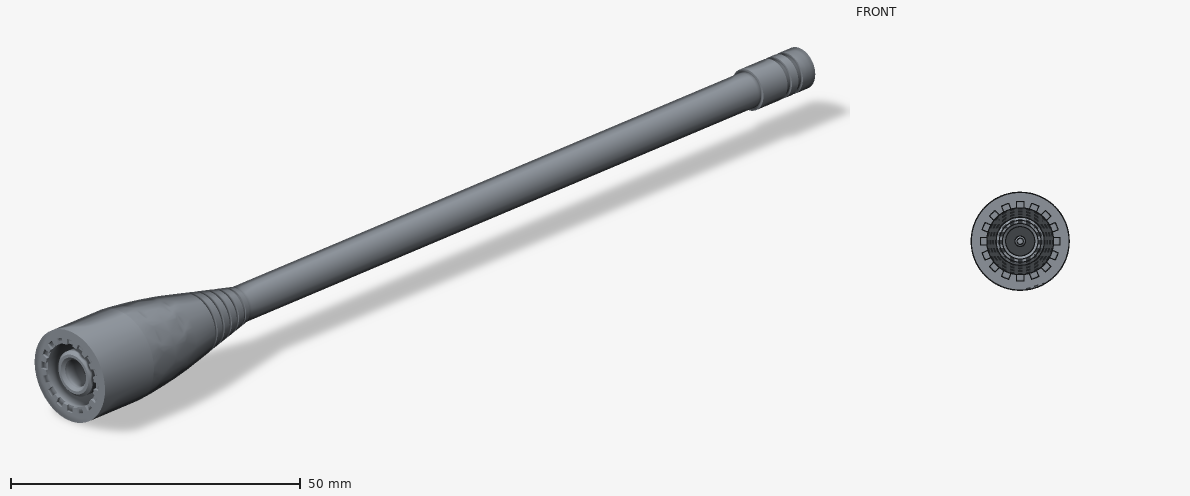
import cadquery as cq
import math

LENGTH = 180.3

SKIRT_RADIUS = 8.5
SKIRT_LENGTH = 12.0
SHOULDER_END = 30.6
SHOULDER_END_RADIUS = 5.5
SHOULDER_BULGE = 0.4
BOOT_LENGTH = 41.0
BOOT_TIP_RADIUS = 3.5

GROOVE_COUNT = 5
FIRST_GROOVE = 30.5
GROOVE_PITCH = 2.25
GROOVE_WIDTH = 0.65
GROOVE_DEPTH = 0.9

SOCKET_RADIUS = 5.8
SOCKET_DEPTH = 9.0
NOTCH_COUNT = 16
NOTCH_OUTER_RADIUS = 6.9
NOTCH_DEPTH = 0.5

WHIP_RADIUS = 3.2
CAP_RADIUS = 3.8
CAP_LENGTH = 12.8
CAP_GROOVE_OFFSETS = (3.0, 5.8)
CAP_GROOVE_WIDTH = 1.0
CAP_GROOVE_DEPTH = 0.45

MIN_WALL = 0.2

STUD_RADIUS = 4.1
STUD_RECESS = 0.9
STUD_CHAMFER = 0.5
BORE_RADIUS = 2.5
BORE_DEPTH = 7.2
BORE_CHAMFER = 0.5
PIN_RADIUS = 0.9
PIN_TIP_CHAMFER = 0.4
PIN_RECESS = 2.7


def cylinder(radius, start, end):
    """Solid cylinder on the Y axis between two Y positions."""
    return cq.Workplane("XZ", origin=(0, start, 0)).circle(radius).extrude(start - end)


def ring(outer_radius, inner_radius, start, end):
    """Tube on the Y axis between two Y positions."""
    return cylinder(outer_radius, start, end).cut(cylinder(inner_radius, start, end))


def boot_blank():
    arc_middle_radius = (SKIRT_RADIUS + SHOULDER_END_RADIUS) / 2 + SHOULDER_BULGE
    arc_middle = (SKIRT_LENGTH + SHOULDER_END) / 2
    return (
        cq.Workplane("XY")
        .lineTo(SKIRT_RADIUS, 0)
        .lineTo(SKIRT_RADIUS, SKIRT_LENGTH)
        .threePointArc((arc_middle_radius, arc_middle), (SHOULDER_END_RADIUS, SHOULDER_END))
        .lineTo(BOOT_TIP_RADIUS, BOOT_LENGTH)
        .lineTo(0, BOOT_LENGTH)
        .close()
        .revolve(360, (0, 0, 0), (0, 1, 0))
    )


def boot_groove(center):
    """Ring that cuts one groove; its floor follows the cone but stays clear of the whip."""
    cone_slope = (SHOULDER_END_RADIUS - BOOT_TIP_RADIUS) / (BOOT_LENGTH - SHOULDER_END)
    cone_radius = SHOULDER_END_RADIUS - cone_slope * (center - SHOULDER_END)
    floor_radius = max(cone_radius - GROOVE_DEPTH, WHIP_RADIUS + MIN_WALL)
    return ring(SKIRT_RADIUS, floor_radius, center - GROOVE_WIDTH / 2, center + GROOVE_WIDTH / 2)


def mouth_notches():
    """Ring of notches, as wide as the lands between them at the outer radius."""
    notch_width = 2 * NOTCH_OUTER_RADIUS * math.sin(math.pi / (2 * NOTCH_COUNT))
    bars = (
        cq.Workplane("XZ")
        .polarArray(NOTCH_OUTER_RADIUS / 2 + SOCKET_RADIUS / 2, 0, 360, NOTCH_COUNT)
        .rect(NOTCH_OUTER_RADIUS - SOCKET_RADIUS + notch_width, notch_width)
        .extrude(-NOTCH_DEPTH)
    )
    return bars.intersect(cylinder(NOTCH_OUTER_RADIUS, 0, NOTCH_DEPTH))


def make_boot():
    boot = boot_blank()
    for i in range(GROOVE_COUNT):
        boot = boot.cut(boot_groove(FIRST_GROOVE + i * GROOVE_PITCH))
    boot = boot.cut(cylinder(SOCKET_RADIUS, 0, SOCKET_DEPTH))
    boot = boot.cut(mouth_notches())
    return boot.cut(cylinder(WHIP_RADIUS, SOCKET_DEPTH, BOOT_LENGTH))


def make_whip():
    whip = cylinder(WHIP_RADIUS, SOCKET_DEPTH, LENGTH)
    whip = whip.union(cylinder(CAP_RADIUS, LENGTH - CAP_LENGTH, LENGTH))
    for offset in CAP_GROOVE_OFFSETS:
        groove_end = LENGTH - offset
        groove_start = groove_end - CAP_GROOVE_WIDTH
        whip = whip.cut(ring(2 * CAP_RADIUS, CAP_RADIUS - CAP_GROOVE_DEPTH, groove_start, groove_end))
    return whip


def make_connector():
    """Stud standing on the socket floor, with the pin on the floor of its bore."""
    bore_floor = STUD_RECESS + BORE_DEPTH
    stud = cylinder(STUD_RADIUS, STUD_RECESS, SOCKET_DEPTH).faces("<Y").chamfer(STUD_CHAMFER)
    stud = stud.cut(cylinder(BORE_RADIUS, STUD_RECESS, bore_floor))
    stud = stud.faces("<Y").edges("%CIRCLE").edges(cq.selectors.RadiusNthSelector(0)).chamfer(BORE_CHAMFER)
    pin = cylinder(PIN_RADIUS, STUD_RECESS + PIN_RECESS, bore_floor).faces("<Y").chamfer(PIN_TIP_CHAMFER)
    return stud.union(pin)


boot = make_boot()
whip = make_whip()
connector = make_connector()

result = cq.Compound.makeCompound([boot.val(), whip.val(), connector.val()])